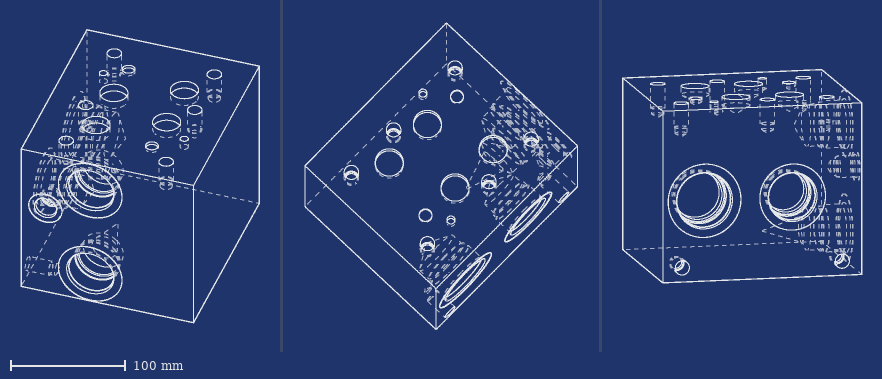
import cadquery as cq
import math

LENGTH_X = 158.8
LENGTH_Y = 177.8
HEIGHT_Z = 152.4
MID_X = LENGTH_X / 2
MID_Y = LENGTH_Y / 2

DRILL_TIP_HALF_ANGLE = 59.0

SPOTFACE_DEPTH = 0.5
SEAT_TAPER = 1.5
MAIN_THREAD_DEPTH = 19.4
MAIN_TAP_DRILL_DEPTH = 23.8
MAIN_BORE_DEPTH = 35.5
MAIN_SEAT_DEPTH = 4.0

LARGE_SPOTFACE = 65.0
LARGE_MOUTH = 50.0
LARGE_THREAD = 47.7
LARGE_TAP_DRILL = 45.5
LARGE_BORE = 42.1

MEDIUM_SPOTFACE = 58.7
MEDIUM_MOUTH = 43.5
MEDIUM_THREAD = 41.2
MEDIUM_TAP_DRILL = 39.3
FRONT_BORE = 37.0
SIDE_BORE = 35.7

SMALL_SPOTFACE = 30.5
SMALL_MOUTH = 20.6
SMALL_THREAD = 19.0
SMALL_TAP_DRILL = 17.6
SMALL_BORE = 15.1
SMALL_SEAT_DEPTH = 3.0
SMALL_THREAD_DEPTH = 16.0
SMALL_TAP_DRILL_DEPTH = 17.8
SMALL_BORE_DEPTH = 21.3

FRONT_PORT_X = 63.5
PORT_A_Z = 30.0
PORT_B_Z = 122.1
PORT_Y_X = 22.2
PORT_Y_Z = 92.3
SIDE_PORT_Z = 71.3
PORT_T_Y = 140.5
PORT_P_Y = 61.7

TAPER_DIAMETER = 23.1
TAPER_HALF_ANGLE = 18.0

BOLT_THREAD = 12.6
BOLT_TAP_DRILL = 10.7
BOLT_THREAD_DEPTH = 21.3
BOLT_DRILL_DEPTH = 26.7
SIDE_BOLT_INSET_Y = 17.5
SIDE_BOLT_Z = 12.6

BOLT_OFFSET_X = 46.0
END_BOLT_OFFSET_Y = 65.0
INNER_OFFSET_Y = 12.1
FLOW_DIAMETER = 24.5
FLOW_DEPTH = 7.5
FLOW_OFFSET_X = 28.5
FLOW_OFFSET_Y = 35.7
PILOT_DIAMETER = 11.2
PILOT_DEPTH = 2.8
PILOT_OFFSET_X = 27.0
PILOT_OFFSET_Y = 47.8
PIN_DIAMETER = 7.1
PIN_DEPTH = 8.9
LEFT_PIN_OFFSET = (-BOLT_OFFSET_X, 35.5)
RIGHT_PIN_OFFSET = (50.5, -29.3)

FRONT = ((1, 0, 0), (0, -1, 0))
LEFT = ((0, -1, 0), (-1, 0, 0))
TOP = ((1, 0, 0), (0, 0, 1))


def cone_length(diameter, half_angle):
    """Length of a cone that closes a given diameter to a point."""
    return diameter / 2 / math.tan(math.radians(half_angle))


def turned_cutter(steps):
    """Revolve (diameter, depth) steps, mouth first, and close them with a drill tip."""
    last_diameter, last_depth = steps[-1]
    tip_depth = last_depth + cone_length(last_diameter, DRILL_TIP_HALF_ANGLE)
    profile = [(0, 0)]
    profile += [(diameter / 2, -depth) for diameter, depth in steps]
    profile.append((0, -tip_depth))
    return cq.Workplane("XZ").polyline(profile).close().revolve(360, (0, 0), (0, 1)).val()


def cut_holes(body, face, steps, centres):
    """Cut the same stepped hole into a face at each of the given points on it."""
    along, outward = face
    cutter = turned_cutter(steps)
    for centre in centres:
        place = cq.Location(cq.Plane(origin=centre, xDir=along, normal=outward))
        body = body.cut(cq.Workplane(cutter.moved(place)))
    return body


def plain_hole(diameter, depth):
    return [(diameter, 0), (diameter, depth)]


def tapped_hole():
    return [
        (BOLT_THREAD, 0),
        (BOLT_THREAD, BOLT_THREAD_DEPTH),
        (BOLT_TAP_DRILL, BOLT_THREAD_DEPTH),
        (BOLT_TAP_DRILL, BOLT_DRILL_DEPTH),
    ]


def port(
    spotface, mouth, thread, tap_drill, bore,
    seat_depth=MAIN_SEAT_DEPTH,
    thread_depth=MAIN_THREAD_DEPTH,
    tap_drill_depth=MAIN_TAP_DRILL_DEPTH,
    bore_depth=MAIN_BORE_DEPTH,
):
    """Steps of a port: spotface, tapered seal seat, thread, tap drill with its shoulder, bore."""
    shoulder = cone_length(tap_drill - bore, DRILL_TIP_HALF_ANGLE)
    return [
        (spotface, 0),
        (spotface, SPOTFACE_DEPTH),
        (mouth, SPOTFACE_DEPTH),
        (mouth - SEAT_TAPER, seat_depth),
        (thread, seat_depth),
        (thread, thread_depth),
        (tap_drill, thread_depth),
        (tap_drill, tap_drill_depth),
        (bore, tap_drill_depth + shoulder),
        (bore, bore_depth),
    ]


def on_top(offsets):
    """Points on the top face from offsets measured from its middle."""
    return [(MID_X + x, MID_Y + y, HEIGHT_Z) for x, y in offsets]


def with_half_turn(offsets):
    """The offsets together with their copies turned half a turn about the middle."""
    return offsets + [(-x, -y) for x, y in offsets]


def cut_front_ports(body):
    """Ports A and B, one above the other, and the small port Y."""
    main = port(MEDIUM_SPOTFACE, MEDIUM_MOUTH, MEDIUM_THREAD, MEDIUM_TAP_DRILL, FRONT_BORE)
    body = cut_holes(body, FRONT, main, [(FRONT_PORT_X, 0, z) for z in (PORT_A_Z, PORT_B_Z)])
    small = port(
        SMALL_SPOTFACE, SMALL_MOUTH, SMALL_THREAD, SMALL_TAP_DRILL, SMALL_BORE,
        SMALL_SEAT_DEPTH, SMALL_THREAD_DEPTH, SMALL_TAP_DRILL_DEPTH, SMALL_BORE_DEPTH,
    )
    return cut_holes(body, FRONT, small, [(PORT_Y_X, 0, PORT_Y_Z)])


def cut_port_a_taper(body):
    """Steep cone that starts on the drill tip of port A and runs to a point."""
    start_y = MAIN_BORE_DEPTH + cone_length(FRONT_BORE - TAPER_DIAMETER, DRILL_TIP_HALF_ANGLE)
    length = cone_length(TAPER_DIAMETER, TAPER_HALF_ANGLE)
    start = cq.Vector(FRONT_PORT_X, start_y, PORT_A_Z)
    cone = cq.Solid.makeCone(TAPER_DIAMETER / 2, 0, length, start, cq.Vector(0, 1, 0))
    return body.cut(cq.Workplane(cone))


def cut_left_face(body):
    """Ports T and P and the two tapped holes near the bottom edge."""
    port_t = port(LARGE_SPOTFACE, LARGE_MOUTH, LARGE_THREAD, LARGE_TAP_DRILL, LARGE_BORE)
    port_p = port(MEDIUM_SPOTFACE, MEDIUM_MOUTH, MEDIUM_THREAD, MEDIUM_TAP_DRILL, SIDE_BORE)
    body = cut_holes(body, LEFT, port_t, [(0, PORT_T_Y, SIDE_PORT_Z)])
    body = cut_holes(body, LEFT, port_p, [(0, PORT_P_Y, SIDE_PORT_Z)])
    bolt_ys = (SIDE_BOLT_INSET_Y, LENGTH_Y - SIDE_BOLT_INSET_Y)
    return cut_holes(body, LEFT, tapped_hole(), [(0, y, SIDE_BOLT_Z) for y in bolt_ys])


def cut_valve_pattern(body):
    """Bolt, flow, pilot and locating pin holes for the valve on the top face."""
    bolts = with_half_turn([
        (BOLT_OFFSET_X, END_BOLT_OFFSET_Y),
        (-BOLT_OFFSET_X, END_BOLT_OFFSET_Y),
        (BOLT_OFFSET_X, INNER_OFFSET_Y),
    ])
    flows = with_half_turn([
        (FLOW_OFFSET_X, FLOW_OFFSET_Y),
        (-FLOW_OFFSET_X, INNER_OFFSET_Y),
    ])
    pilots = with_half_turn([(-PILOT_OFFSET_X, PILOT_OFFSET_Y)])
    pins = [LEFT_PIN_OFFSET, RIGHT_PIN_OFFSET]
    body = cut_holes(body, TOP, tapped_hole(), on_top(bolts))
    body = cut_holes(body, TOP, plain_hole(FLOW_DIAMETER, FLOW_DEPTH), on_top(flows))
    body = cut_holes(body, TOP, plain_hole(PILOT_DIAMETER, PILOT_DEPTH), on_top(pilots))
    return cut_holes(body, TOP, plain_hole(PIN_DIAMETER, PIN_DEPTH), on_top(pins))


block = cq.Workplane("XY").box(LENGTH_X, LENGTH_Y, HEIGHT_Z, centered=False)
block = cut_front_ports(block)
block = cut_port_a_taper(block)
block = cut_left_face(block)
result = cut_valve_pattern(block)